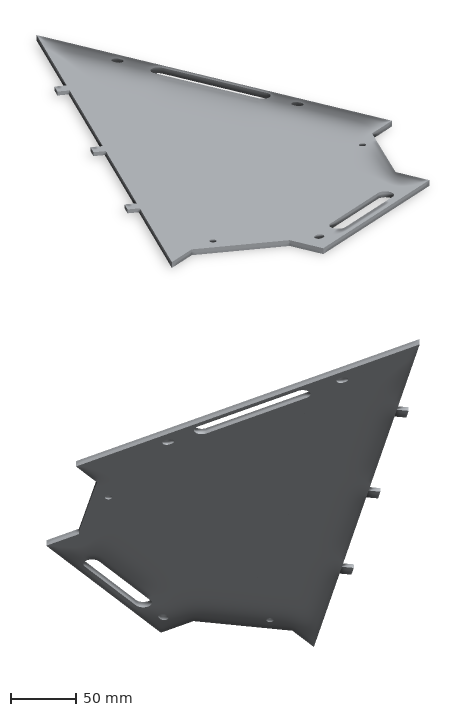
import cadquery as cq
import math

thickness = 5.0
total_length = 404.8
total_width = 323.5
arm_reach = 85.0
arm_inset = 83.8
arm_shoulder = 30.5
leg_shoulder = 29.0
leg_x = total_length - arm_reach

tab_width = 10.0
tab_depth = 9.7
tab_thickness = 3.2
tab_positions = (74.5, leg_x / 2, 240.5)

top_slot_width = 12.0
arm_slot_width = 13.5
top_slot_length = 106.0
top_slot_center = (162.7, -10.0)
arm_slot_length = 83.0
arm_slot_center = (total_length - 13.8, -160.5)

mount_slot_length = 9.7
mount_slot_width = 7.0
mount_slot_spacing = 162.0
mount_slot_y = -10.0
arm_mount_center = (390.0, -222.0)
arm_mount_length = 9.0

hole_diameter = 5.5
hole_x = 325.0
hole_inset = 52.0


def make_plate():
    outline = [
        (0, 0),
        (leg_x, 0),
        (leg_x, -leg_shoulder),
        (total_length - arm_shoulder, -arm_inset),
        (total_length, -arm_inset),
        (total_length, arm_inset - total_width),
        (total_length - arm_shoulder, arm_inset - total_width),
        (leg_x, leg_shoulder - total_width),
        (leg_x, -total_width),
    ]
    return cq.Workplane("XY").polyline(outline).close().extrude(thickness)


def make_tab(x):
    slope = total_width / leg_x
    return (
        cq.Workplane("XY")
        .box(tab_width, 2 * tab_depth, tab_thickness, centered=(True, True, False))
        .rotate((0, 0, 0), (0, 0, 1), -math.degrees(math.atan(slope)))
        .translate((x, -slope * x, thickness - tab_thickness))
    )


def cut_slot(body, center, length, width, angle):
    cutter = cq.Workplane("XY").center(*center).slot2D(length, width, angle).extrude(thickness)
    return body.cut(cutter)


result = make_plate()
for tab_x in tab_positions:
    result = result.union(make_tab(tab_x))

result = cut_slot(result, top_slot_center, top_slot_length, top_slot_width, 0)
result = cut_slot(result, arm_slot_center, arm_slot_length, arm_slot_width, 90)

for side in (-1, 1):
    mount_center = (leg_x / 2 + side * mount_slot_spacing / 2, mount_slot_y)
    result = cut_slot(result, mount_center, mount_slot_length, mount_slot_width, 0)
result = cut_slot(result, arm_mount_center, arm_mount_length, mount_slot_width, 90)

for hole_y in (-hole_inset, hole_inset - total_width):
    hole = cq.Workplane("XY").center(hole_x, hole_y).circle(hole_diameter / 2).extrude(thickness)
    result = result.cut(hole)